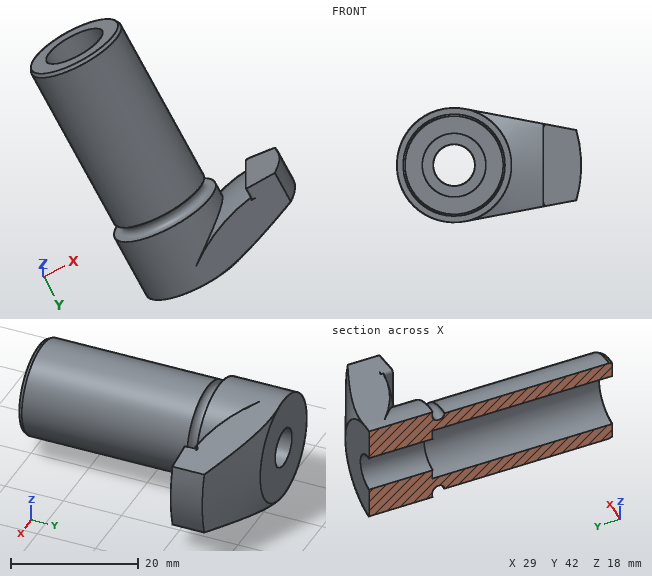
import cadquery as cq
import math

total_length = 42.0
head_radius = 18.0 / 2
head_length = 11.0
shaft_radius = 16.0 / 2
neck_groove_radius = 1.0
end_chamfer_radial = 0.3
end_chamfer_length = 0.6

through_hole_diameter = 6.5
counterbore_diameter = 10.0
counterbore_depth = total_length - head_length

tip_radius = 29.0 - head_radius
flank_tangent_x = 1.7
cone_drop = 5.1
underside_radius = 27.3
underside_center_x = 16.8
underside_lowest_y = -9.83

pad_start_x = 14.03
pad_bottom_y = -10.55
pad_corner_top_y = -8.5
pad_corner_radius = 0.5


def cylinder(radius, start_y, length):
    """Cylinder on the Y axis, running from start_y towards -Y."""
    return cq.Workplane("XZ", origin=(0, start_y, 0)).circle(radius).extrude(length)


def make_body():
    """Head, semicircular neck groove and chamfered shaft as one turned profile."""
    groove_end_y = -head_length - 2 * neck_groove_radius
    return (
        cq.Workplane("XY")
        .lineTo(head_radius, 0)
        .lineTo(head_radius, -head_length)
        .lineTo(shaft_radius, -head_length)
        .threePointArc(
            (shaft_radius - neck_groove_radius, -head_length - neck_groove_radius),
            (shaft_radius, groove_end_y),
        )
        .lineTo(shaft_radius, -total_length + end_chamfer_length)
        .lineTo(shaft_radius - end_chamfer_radial, -total_length)
        .lineTo(0, -total_length)
        .close()
        .revolve(360, (0, 0, 0), (0, 1, 0))
    )


def arm_plan():
    """Arm outline as a full-depth prism: tangent flanks and a rounded tip."""
    tangent_angle = math.acos(flank_tangent_x / head_radius)
    tangent_z = head_radius * math.sin(tangent_angle)
    tip_angle = tangent_angle - math.acos(head_radius / tip_radius)
    tip_x = tip_radius * math.cos(tip_angle)
    tip_z = tip_radius * math.sin(tip_angle)
    return (
        cq.Workplane("XZ")
        .moveTo(0, 0)
        .lineTo(flank_tangent_x, -tangent_z)
        .lineTo(tip_x, -tip_z)
        .threePointArc((tip_radius, 0), (tip_x, tip_z))
        .lineTo(flank_tangent_x, tangent_z)
        .close()
        .extrude(-pad_bottom_y)
    )


def conical_envelope():
    """Turned blank whose conical back falls from the head to the arm tip."""
    blank_radius = tip_radius + 0.4
    cone_slope = cone_drop / (tip_radius - head_radius)
    blank_edge_y = -cone_slope * (blank_radius - head_radius)
    return (
        cq.Workplane("XY")
        .lineTo(head_radius, 0)
        .lineTo(blank_radius, blank_edge_y)
        .lineTo(blank_radius, pad_bottom_y)
        .lineTo(0, pad_bottom_y)
        .close()
        .revolve(360, (0, 0, 0), (0, 1, 0))
    )


def slab(start_x, end_x, top_y, bottom_y):
    """Block spanning the whole arm width between the given X and Y limits."""
    return cq.Workplane("XY").box(
        end_x - start_x, top_y - bottom_y, 2 * head_radius, centered=(False, False, True)
    ).translate((start_x, bottom_y, 0))


def make_arm():
    blank = arm_plan().intersect(conical_envelope())

    underside = cq.Workplane("XY").sphere(underside_radius).translate(
        (underside_center_x, underside_lowest_y + underside_radius, 0)
    )
    web = blank.intersect(slab(0, pad_start_x, 0, pad_bottom_y)).intersect(underside)

    tip = blank.intersect(slab(pad_start_x, tip_radius, 0, pad_corner_top_y))

    pad = (
        blank.intersect(slab(pad_start_x, tip_radius, pad_corner_top_y, pad_bottom_y))
        .edges("|Y and <X")
        .fillet(pad_corner_radius)
    )
    return web.union(tip).union(pad)


def make_bore():
    """Through hole with a counterbore opening at the shaft end."""
    through_hole = cylinder(through_hole_diameter / 2, 0, total_length)
    counterbore = cylinder(
        counterbore_diameter / 2, -total_length + counterbore_depth, counterbore_depth
    )
    return through_hole.union(counterbore)


result = make_body().union(make_arm()).cut(make_bore())